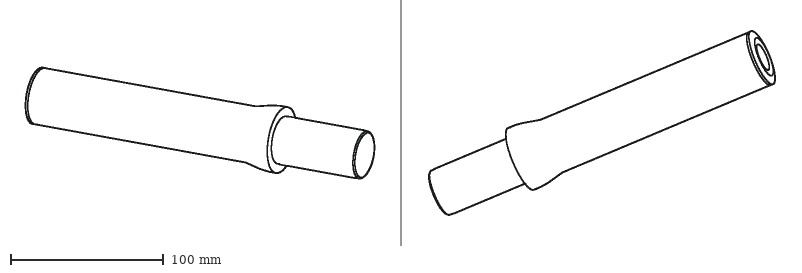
import cadquery as cq
import math

total_length = 239.0
tip_length = 3.0
flare_start = 156.5
collar_start = 173.8
collar_end = 178.8

body_diameter = 37.5
edge_projection = 0.12
collar_diameter = 44.0
shank_diameter = 32.0
relief_diameter = 31.5

outer_ridge_radius = 13.5
valley_radius = 9.0
inner_ridge_radius = 5.5
valley_depth = 0.7
center_depth = 0.6
shoulder_radius = 17.0
shoulder_depth = 0.84
corner_depth = 1.5

flare_bulge = 0.5
front_relief_length = 0.7
rear_relief_length = 2.9
rear_chamfer = 1.0
relief_taper_length = 1.5

body_radius = body_diameter / 2
edge_radius = body_radius + edge_projection
collar_radius = collar_diameter / 2
shank_radius = shank_diameter / 2
relief_radius = relief_diameter / 2
x_front = -total_length / 2
x_joint = x_front + tip_length
x_rear = x_front + total_length


def revolve_about_x(profile):
    """Turn a closed half profile, drawn as (x, radius), about the X axis."""
    return profile.close().revolve(360, (0, 0, 0), (1, 0, 0))


def make_cutting_tip():
    """Short cutting head with a ridged conical face and a slight back taper."""
    profile = (
        cq.Workplane("XY")
        .moveTo(x_front + center_depth, 0)
        .lineTo(x_front, inner_ridge_radius)
        .lineTo(x_front + valley_depth, valley_radius)
        .lineTo(x_front, outer_ridge_radius)
        .lineTo(x_front + shoulder_depth, shoulder_radius)
        .lineTo(x_front + corner_depth, edge_radius)
        .lineTo(x_joint, body_radius)
        .lineTo(x_joint, 0)
    )
    return revolve_about_x(profile)


def flare_midpoint(start, end):
    """Middle of the convex flare arc: the chord's midpoint pushed outward by the bulge."""
    length = end[0] - start[0]
    rise = end[1] - start[1]
    chord = math.hypot(length, rise)
    middle_x = (start[0] + end[0]) / 2 - flare_bulge * rise / chord
    middle_radius = (start[1] + end[1]) / 2 + flare_bulge * length / chord
    return (middle_x, middle_radius)


def make_holder():
    """Drill body, flared collar and shank with a reduced diameter at both shank ends."""
    flare_foot = (x_front + flare_start, body_radius)
    flare_top = (x_front + collar_start, collar_radius)
    x_collar_end = x_front + collar_end
    x_front_relief_end = x_collar_end + front_relief_length
    x_rear_relief = x_rear - rear_relief_length
    profile = (
        cq.Workplane("XY")
        .moveTo(x_joint, 0)
        .lineTo(x_joint, body_radius)
        .lineTo(*flare_foot)
        .threePointArc(flare_midpoint(flare_foot, flare_top), flare_top)
        .lineTo(x_collar_end, collar_radius)
        .lineTo(x_collar_end, relief_radius)
        .lineTo(x_front_relief_end, relief_radius)
        .lineTo(x_front_relief_end + relief_taper_length, shank_radius)
        .lineTo(x_rear_relief - relief_taper_length, shank_radius)
        .lineTo(x_rear_relief, relief_radius)
        .lineTo(x_rear - rear_chamfer, relief_radius)
        .lineTo(x_rear, relief_radius - rear_chamfer)
        .lineTo(x_rear, 0)
    )
    return revolve_about_x(profile)


cutting_tip = make_cutting_tip()
holder = make_holder()
result = cq.Compound.makeCompound([cutting_tip.val(), holder.val()])